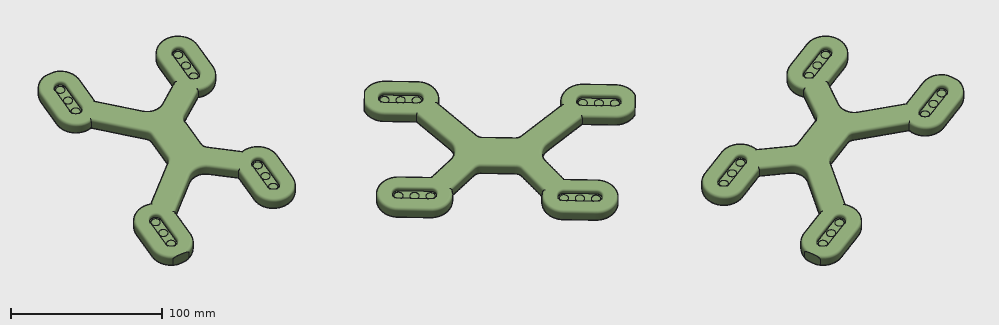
import cadquery as cq
import math

thickness = 10.0
overall_width = 179.0
overall_depth = 112.19

pad_straight = 21.3
pad_diameter = 29.3
upper_pad_x = 54.65
lower_pad_x = 65.5
upper_pad_y = 37.3
lower_pad_y = upper_pad_y - (overall_depth - pad_diameter)

bridge_half_height = 12.8
waist_half_width = 25.7
waist_y = -0.5
upper_arm_width = 17.5
lower_arm_width = 17.6
waist_fillet = 11.0
bridge_fillet = 5.0

top_edge_radius = 2.0
bottom_edge_radius = 3.0

slot_width = 8.0
slot_depth = 3.0
slot_edge_radius = 1.5
magnet_diameter = 6.1
magnet_cover = 0.2
magnets_per_pad = 3

pad_radius = pad_diameter / 2
pad_centers = [
    (side * x, y)
    for x, y in ((upper_pad_x, upper_pad_y), (lower_pad_x, lower_pad_y))
    for side in (-1, 1)
]


def arm_outline(pad_x, pad_y, arm_width):
    """Corner at the bridge, then the two points inside the pad, of a right-hand arm.

    The outer edge runs from the waist corner to the end of the pad's straight
    flank. The inner edge is parallel to it, one arm width away. Both are carried
    on to the middle line of the pad so that arm and pad overlap.
    """
    up = math.copysign(1, pad_y)
    flank_end_x = pad_x - pad_straight / 2
    run = flank_end_x - waist_half_width
    rise = pad_y - up * pad_radius - waist_y
    x_per_y = run / rise
    arm_width_along_x = arm_width * math.hypot(run, rise) / abs(rise)

    outer_tip_x = waist_half_width + x_per_y * (pad_y - waist_y)
    inner_tip_x = outer_tip_x - arm_width_along_x
    bridge_y = up * bridge_half_height
    bridge_x = inner_tip_x - x_per_y * (pad_y - bridge_y)
    return (bridge_x, bridge_y), (inner_tip_x, pad_y), (outer_tip_x, pad_y)


def hub_and_arms():
    """The X-shaped web joining the pads, mirrored about the YZ plane."""
    upper_corner, upper_inner, upper_outer = arm_outline(upper_pad_x, upper_pad_y, upper_arm_width)
    lower_corner, lower_inner, lower_outer = arm_outline(lower_pad_x, lower_pad_y, lower_arm_width)
    waist_corner = (waist_half_width, waist_y)
    right_side = [
        upper_corner,
        upper_inner,
        upper_outer,
        waist_corner,
        lower_outer,
        lower_inner,
        lower_corner,
    ]
    left_side = [(-x, y) for x, y in reversed(right_side)]
    web = cq.Workplane("XY").polyline(right_side + left_side).close().extrude(thickness)

    rounded_corners = [
        (waist_corner, waist_fillet),
        (upper_corner, bridge_fillet),
        (lower_corner, bridge_fillet),
    ]
    for (x, y), radius in rounded_corners:
        for side in (-1, 1):
            corner_edge = cq.selectors.NearestToPointSelector((side * x, y, thickness / 2))
            web = web.edges(corner_edge).fillet(radius)
    return web


def plate():
    """Web and pads with rounded edges; the trim leaves sharp-edged flats on the lower pads."""
    pads = (
        cq.Workplane("XY")
        .pushPoints(pad_centers)
        .slot2D(pad_straight + pad_diameter, pad_diameter)
        .extrude(thickness)
    )
    body = hub_and_arms().union(pads)
    body = body.faces(">Z").edges().fillet(top_edge_radius)
    body = body.faces("<Z").edges().fillet(bottom_edge_radius)
    trim = cq.Workplane("XY").box(
        overall_width, 2 * overall_depth, thickness, centered=(True, True, False)
    )
    return body.intersect(trim)


def slot_pockets():
    return (
        cq.Workplane("XY", origin=(0, 0, thickness - slot_depth))
        .pushPoints(pad_centers)
        .slot2D(pad_straight + slot_width, slot_width)
        .extrude(slot_depth)
    )


def magnet_bores():
    """Blind bores from the underside, in a row along each slot."""
    pitch = pad_straight / (magnets_per_pad - 1)
    bore_centers = [
        (x + (i - (magnets_per_pad - 1) / 2) * pitch, y)
        for x, y in pad_centers
        for i in range(magnets_per_pad)
    ]
    return (
        cq.Workplane("XY")
        .pushPoints(bore_centers)
        .circle(magnet_diameter / 2)
        .extrude(thickness - slot_depth - magnet_cover)
    )


def round_slot_mouths(body):
    mouths = body.faces(">Z").val().innerWires()
    mouth_edges = [edge for mouth in mouths for edge in mouth.Edges()]
    return body.newObject(mouth_edges).fillet(slot_edge_radius)


slotted = round_slot_mouths(plate().cut(slot_pockets()))
result = slotted.cut(magnet_bores())